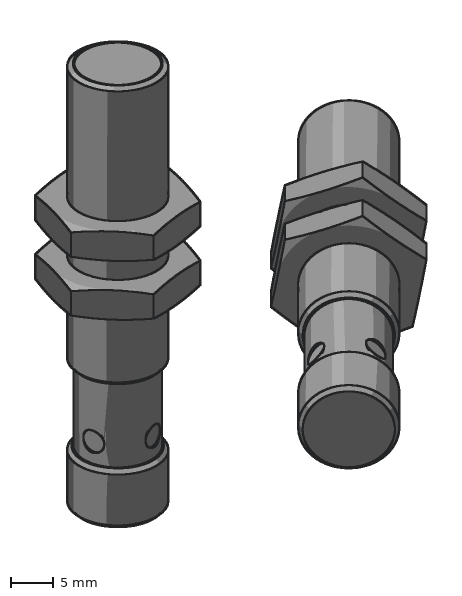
import cadquery as cq
import math

total_length = 60.0
barrel_dia = 12.0
barrel_bottom = 20.0

thread_root_dia = 10.92
end_chamfer = (barrel_dia - thread_root_dia) / 2

top_face_dia = 10.6
top_chamfer_width = (barrel_dia - top_face_dia) / 2
top_chamfer_height = 0.4

neck_dia = 10.5
plug_top = 8.0

window_dia = 10.3
window_depth = 0.1

indicator_dia = 3.0
indicator_count = 4
indicator_height = 11.0
indicator_floor_radius = 5.0

nut_width = 17.0
nut_sides = 6
nut_half_sector = 180 / nut_sides
nut_corner_dia = nut_width / math.cos(math.radians(nut_half_sector))
nut_height = 4.0
nut_count = 2
nut_spacing = 2 * nut_height
first_nut_bottom = 29.95
nut_face_dia = nut_width
nut_chamfer_angle = 15.0


def cylinder(diameter, bottom, top):
    return cq.Workplane("XY").workplane(offset=bottom).circle(diameter / 2).extrude(top - bottom)


def make_indicator_cutter(angle):
    return (
        cq.Workplane("YZ", origin=(indicator_floor_radius, 0, indicator_height))
        .circle(indicator_dia / 2)
        .extrude(barrel_dia / 2 - indicator_floor_radius)
        .rotate((0, 0, 0), (0, 0, 1), angle)
    )


def make_housing():
    barrel = cylinder(barrel_dia, barrel_bottom - end_chamfer, total_length)
    barrel = barrel.faces("<Z").chamfer(end_chamfer)
    barrel = barrel.faces(">Z").chamfer(top_chamfer_height, top_chamfer_width)
    plug = cylinder(barrel_dia, 0, plug_top).faces("<Z or >Z").chamfer(end_chamfer)
    neck = cylinder(neck_dia, plug_top, barrel_bottom)
    housing = barrel.union(neck).union(plug)
    window = cylinder(window_dia, total_length - window_depth, total_length)
    housing = housing.cut(window)
    for index in range(indicator_count):
        housing = housing.cut(make_indicator_cutter(index * 360 / indicator_count))
    return housing


def make_nut(bottom):
    corner_radius = nut_corner_dia / 2
    face_radius = nut_face_dia / 2
    corner_drop = (corner_radius - face_radius) * math.tan(math.radians(nut_chamfer_angle))
    hexagon = (
        cq.Workplane("XY")
        .polygon(nut_sides, nut_corner_dia)
        .extrude(nut_height)
        .rotate((0, 0, 0), (0, 0, 1), nut_half_sector)
    )
    blank = (
        cq.Workplane("XZ")
        .moveTo(0, 0)
        .lineTo(face_radius, 0)
        .lineTo(corner_radius, corner_drop)
        .lineTo(corner_radius, nut_height - corner_drop)
        .lineTo(face_radius, nut_height)
        .lineTo(0, nut_height)
        .close()
        .revolve(360, (0, 0, 0), (0, 1, 0))
    )
    bore = cylinder(barrel_dia, 0, nut_height)
    return hexagon.intersect(blank).cut(bore).translate((0, 0, bottom))


housing = make_housing()
nuts = [make_nut(first_nut_bottom + index * nut_spacing) for index in range(nut_count)]

result = cq.Compound.makeCompound([housing.val(), *[nut.val() for nut in nuts]])